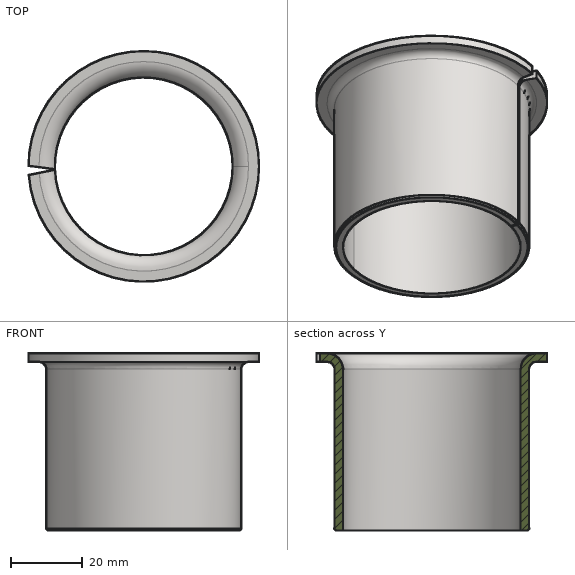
import cadquery as cq

flange_diameter = 65.0
body_diameter = 55.0
bore_diameter = 50.0
height = 50.0
root_fillet = 2.0
bottom_chamfer = 0.5

split_angle = 182.0
split_bore_width = 0.05
split_rim_width = 2.55
split_overrun = 1.3

flange_radius = flange_diameter / 2
body_radius = body_diameter / 2
bore_radius = bore_diameter / 2

wall = body_radius - bore_radius
mouth_radius = root_fillet + wall
bend_center_radius = body_radius + root_fillet
bend_center_z = height - mouth_radius
flange_bottom_z = height - wall


def flanged_sleeve():
    """Sleeve with a flared mouth, revolved about Z from its wall section."""
    section = (
        cq.Workplane("XZ")
        .moveTo(bore_radius, 0)
        .lineTo(body_radius - bottom_chamfer, 0)
        .lineTo(body_radius, bottom_chamfer)
        .lineTo(body_radius, bend_center_z)
        .radiusArc((bend_center_radius, flange_bottom_z), root_fillet)
        .lineTo(flange_radius, flange_bottom_z)
        .lineTo(flange_radius, height)
        .lineTo(bend_center_radius, height)
        .radiusArc((bore_radius, bend_center_z), -mouth_radius)
        .close()
    )
    return section.revolve(360, (0, 0, 0), (0, 1, 0))


def split_wedge():
    """Full-height wedge that opens outward through one side of the sleeve."""
    half_slope = (split_rim_width - split_bore_width) / 2 / (flange_radius - bore_radius)
    inner_radius = bore_radius - split_bore_width / 2 / half_slope
    outer_radius = flange_radius + split_overrun
    outer_half_width = half_slope * (outer_radius - inner_radius)
    wedge = (
        cq.Workplane("XY")
        .moveTo(inner_radius, 0)
        .lineTo(outer_radius, -outer_half_width)
        .lineTo(outer_radius, outer_half_width)
        .close()
        .extrude(height)
    )
    return wedge.rotate((0, 0, 0), (0, 0, 1), split_angle)


result = flanged_sleeve().cut(split_wedge())